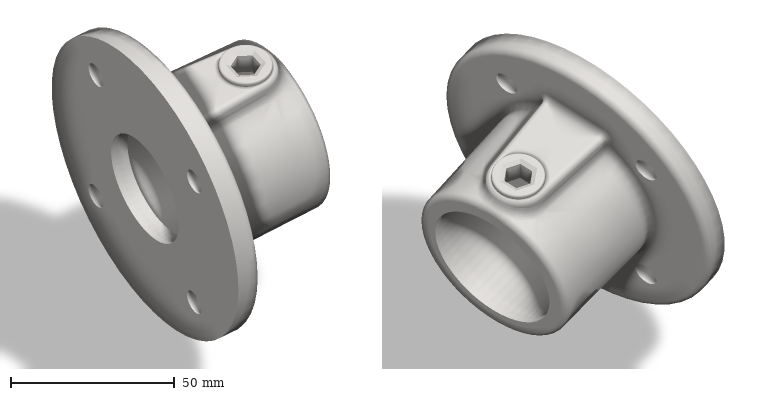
import cadquery as cq
import math

FLANGE_DIAMETER = 102.0
FLANGE_THICKNESS = 8.0
MOUNT_HOLE_DIAMETER = 8.0
MOUNT_HOLE_PITCH = 53.7

TOTAL_DEPTH = 50.0
HUB_BASE_RADIUS = 28.95
HUB_DRAFT = 1.0
EDGE_ROUND = 2.0

STOP_DIAMETER = 37.0
SOCKET_DIAMETER = 44.0
STOP_LENGTH = 6.0

BOSS_TOP_Z = 32.5
BOSS_END_RADIUS = 10.0
BOSS_SIDE_ANGLE = 4.0
BOSS_TOP_ROUND = 2.0
BOSS_BLEND = 3.0

SCREW_Y = 37.0
SCREW_DIAMETER = 16.5
SCREW_FACE_DIAMETER = 15.25
SCREW_TOP_Z = 33.7
SCREW_TIP_Z = SOCKET_DIAMETER / 2
HEX_SIDES = 6
HEX_FLATS = 8.0
HEX_MOUTH_FLATS = 10.75
HEX_DEPTH = 8.0
HEX_MOUTH_SLOPE = 30.0
SCREW_HOLE_MOUTH_DIAMETER = 19.25
COUNTERSINK_SLOPE = 15.0

HUB_LENGTH = TOTAL_DEPTH - FLANGE_THICKNESS
HUB_END_RADIUS = HUB_BASE_RADIUS - HUB_LENGTH * math.tan(math.radians(HUB_DRAFT))


def cylinder_y(diameter, start, end):
    """Cylinder on the Y axis between two Y positions."""
    return cq.Workplane("XZ", origin=(0, start, 0)).circle(diameter / 2).extrude(start - end)


def make_hub_and_flange():
    """Flange and tapered hub, turned about the Y axis."""
    rim = FLANGE_DIAMETER / 2
    return (
        cq.Workplane("XY")
        .moveTo(0, 0)
        .lineTo(rim, 0)
        .lineTo(rim, FLANGE_THICKNESS)
        .lineTo(HUB_BASE_RADIUS, FLANGE_THICKNESS)
        .lineTo(HUB_END_RADIUS, TOTAL_DEPTH)
        .lineTo(0, TOTAL_DEPTH)
        .close()
        .revolve(360, (0, 0, 0), (0, 1, 0))
    )


def make_boss():
    """Pad whose sides run tangent from its round end down to the flange."""
    angle = math.radians(BOSS_SIDE_ANGLE)
    tangent_x = BOSS_END_RADIUS * math.cos(angle)
    tangent_y = SCREW_Y + BOSS_END_RADIUS * math.sin(angle)
    root_y = FLANGE_THICKNESS / 2
    root_x = tangent_x + (tangent_y - root_y) * math.tan(angle)
    return (
        cq.Workplane("XY")
        .moveTo(-root_x, root_y)
        .lineTo(root_x, root_y)
        .lineTo(tangent_x, tangent_y)
        .threePointArc((0, SCREW_Y + BOSS_END_RADIUS), (-tangent_x, tangent_y))
        .close()
        .extrude(BOSS_TOP_Z)
        .faces(">Z").edges("not <Y").fillet(BOSS_TOP_ROUND)
    )


def blend_boss(casting):
    """Blend the foot of the pad walls into the hub surface."""
    foot = casting.edges(
        cq.selectors.BoxSelector(
            (-FLANGE_DIAMETER, FLANGE_THICKNESS + EDGE_ROUND, SOCKET_DIAMETER / 2),
            (FLANGE_DIAMETER, TOTAL_DEPTH - EDGE_ROUND, HUB_END_RADIUS),
        )
    )
    return foot.fillet(BOSS_BLEND)


def round_flange_back(casting):
    """Round the flange rim and the root where the hub and pad meet the flange."""
    middle_radius = (HUB_BASE_RADIUS + FLANGE_DIAMETER / 2) / 2
    back_point = (0, FLANGE_THICKNESS, -middle_radius)
    back_face = casting.faces(cq.selectors.NearestToPointSelector(back_point))
    return back_face.edges().fillet(EDGE_ROUND)


def make_screw_hole():
    """Plain hole from the bore to the pad top with a shallow countersink."""
    countersink_width = (SCREW_HOLE_MOUTH_DIAMETER - SCREW_DIAMETER) / 2
    countersink_depth = countersink_width * math.tan(math.radians(COUNTERSINK_SLOPE))
    hole = cq.Workplane("XY", origin=(0, SCREW_Y, 0)).circle(SCREW_DIAMETER / 2).extrude(BOSS_TOP_Z)
    countersink = (
        cq.Workplane("XY", origin=(0, SCREW_Y, BOSS_TOP_Z))
        .circle(SCREW_HOLE_MOUTH_DIAMETER / 2)
        .extrude(-countersink_depth, taper=90 - COUNTERSINK_SLOPE)
    )
    return hole.union(countersink)


def make_mount_holes():
    """Four plain holes through the flange."""
    return (
        cq.Workplane("XZ")
        .rect(MOUNT_HOLE_PITCH, MOUNT_HOLE_PITCH, forConstruction=True)
        .vertices()
        .circle(MOUNT_HOLE_DIAMETER / 2)
        .extrude(-FLANGE_THICKNESS)
    )


def make_housing():
    """Flange, hub and pad as one casting, bored and drilled."""
    casting = blend_boss(make_hub_and_flange().union(make_boss()))
    casting = casting.faces(">Y").edges().fillet(EDGE_ROUND)
    casting = round_flange_back(casting)
    casting = casting.cut(cylinder_y(STOP_DIAMETER, 0, TOTAL_DEPTH))
    casting = casting.cut(cylinder_y(SOCKET_DIAMETER, STOP_LENGTH, TOTAL_DEPTH))
    return casting.cut(make_screw_hole()).cut(make_mount_holes())


def hexagon(flats, z):
    """Hexagon outline on the screw axis, given its width across flats."""
    across_corners = flats / math.cos(math.pi / HEX_SIDES)
    return cq.Workplane("XY", origin=(0, SCREW_Y, z)).polygon(HEX_SIDES, across_corners)


def make_set_screw():
    """Set screw that ends at the crown of the tube socket."""
    edge_round = (SCREW_DIAMETER - SCREW_FACE_DIAMETER) / 2
    mouth_width = (HEX_MOUTH_FLATS - HEX_FLATS) / 2
    mouth_depth = mouth_width * math.tan(math.radians(HEX_MOUTH_SLOPE))
    screw = (
        cq.Workplane("XY", origin=(0, SCREW_Y, SCREW_TIP_Z))
        .circle(SCREW_DIAMETER / 2)
        .extrude(SCREW_TOP_Z - SCREW_TIP_Z)
        .faces(">Z").edges()
        .fillet(edge_round)
    )
    socket = hexagon(HEX_FLATS, SCREW_TOP_Z).extrude(-HEX_DEPTH)
    mouth = hexagon(HEX_MOUTH_FLATS, SCREW_TOP_Z).extrude(-mouth_depth, taper=90 - HEX_MOUTH_SLOPE)
    return screw.cut(socket).cut(mouth)


housing = make_housing()
set_screw = make_set_screw()
result = cq.Compound.makeCompound([housing.solids().val(), set_screw.solids().val()])